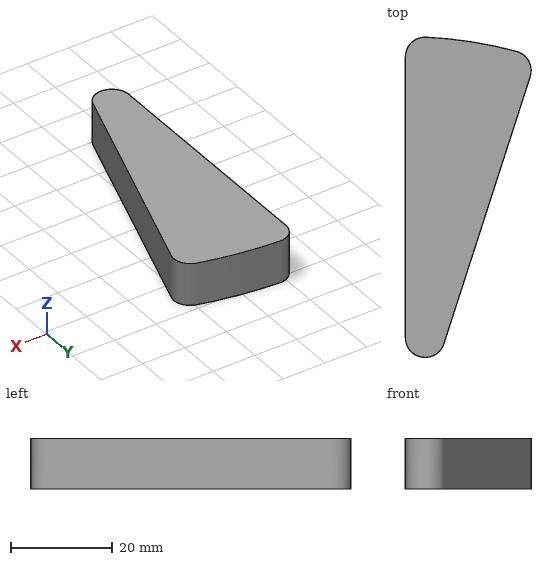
import cadquery as cq
import math

length = 63.45
thickness = 10.0
corner_radius = 3.95
wedge_angle = math.radians(17.9)

tip_centre_y = corner_radius / math.tan(wedge_angle / 2)
wide_centre_y = tip_centre_y + length - 2 * corner_radius
outer_radius = math.hypot(corner_radius, wide_centre_y) + corner_radius


def arc_point(angle):
    """Point on the wide end's arc, at an angle clockwise from the left side."""
    return outer_radius * math.sin(angle), outer_radius * math.cos(angle)


sector = (
    cq.Workplane("XY")
    .moveTo(0, 0)
    .lineTo(*arc_point(0))
    .threePointArc(arc_point(wedge_angle / 2), arc_point(wedge_angle))
    .close()
    .extrude(thickness)
)
rounded_wedge = sector.edges("|Z").fillet(corner_radius)

result = rounded_wedge.translate((0, corner_radius - tip_centre_y, 0))